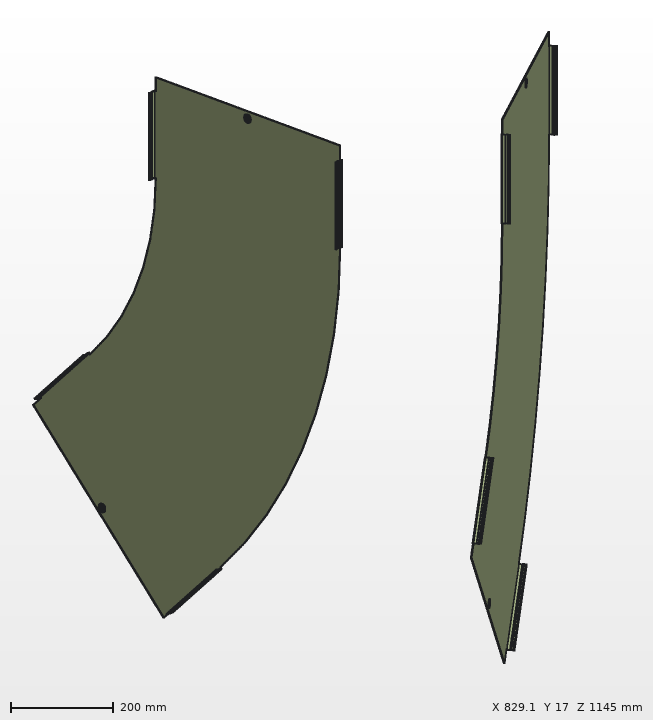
import cadquery as cq
import math

total_height = 1145.0
total_depth = 17.0
bend_angle = 45.0
width = 496.0
inner_radius = 600.0
sheet = 2.0

flange_end_gap = 30.0
flange_length = 185.0
flange_overhang = 4.1

bead_depth = 1.7
bead_height = 7.0
bead_lip = 2.0

collar_radius = 9.0
lock_edge_distance = 15.0
collar_height = 0.6
lock_head_radius = 6.0
lock_height = 1.0
lock_slot_width = 2.0

outer_radius = inner_radius + width
middle_radius = inner_radius + width / 2
bend = math.radians(bend_angle)

straight = (total_height - outer_radius * math.sin(bend)) / (1 + math.cos(bend))


def arc_point(radius, angle):
    """Point on the bend, measured clockwise from +X around the bend centre."""
    return (radius * math.cos(angle), -radius * math.sin(angle))


def extrude_back(sketch, depth):
    """Extrude an XZ sketch toward +Y."""
    return sketch.extrude(-depth)


def bend_sheet():
    """Curved middle of the sheet, front face on Y = 0."""
    outline = (
        cq.Workplane("XZ")
        .moveTo(inner_radius, 0)
        .lineTo(outer_radius, 0)
        .threePointArc(arc_point(outer_radius, bend / 2), arc_point(outer_radius, bend))
        .lineTo(*arc_point(inner_radius, bend))
        .threePointArc(arc_point(inner_radius, bend / 2), (inner_radius, 0))
        .close()
    )
    return extrude_back(outline, sheet)


def flange(edge, outward):
    """Beaded flange hanging forward from a sheet edge; outward is +1 or -1 along X."""
    outer_face = edge + outward * flange_overhang
    inner_face = outer_face - outward * sheet
    bead_shift = -outward * bead_depth
    front = sheet - total_depth
    bead_front = front + bead_lip
    bead_middle = bead_front + bead_height / 2
    bead_back = bead_front + bead_height
    profile = [
        (edge, sheet),
        (outer_face, sheet),
        (outer_face, bead_back),
        (outer_face + bead_shift, bead_middle),
        (outer_face, bead_front),
        (outer_face, front),
        (inner_face, front),
        (inner_face, bead_front),
        (inner_face + bead_shift, bead_middle),
        (inner_face, bead_back),
        (inner_face, 0),
        (edge, 0),
    ]
    start = straight - flange_end_gap - flange_length
    return cq.Workplane("XY").workplane(offset=start).polyline(profile).close().extrude(flange_length)


def turn_lock():
    """Low collar on the front face around a round head with a screwdriver slot."""
    place = cq.Workplane("XZ").center(middle_radius, straight - lock_edge_distance)
    collar = place.circle(collar_radius).extrude(collar_height)
    head = place.circle(lock_head_radius).extrude(lock_height)
    slot = place.rect(2 * lock_head_radius, lock_slot_width).extrude(lock_height)
    return head.cut(slot).union(collar)


def straight_end():
    """Straight end above the bend with its two flanges and its turn-lock."""
    outline = cq.Workplane("XZ").moveTo(inner_radius, 0).rect(width, straight, centered=False)
    body = extrude_back(outline, sheet)
    body = body.union(flange(inner_radius, -1)).union(flange(outer_radius, 1))
    return body.union(turn_lock())


upper_end = straight_end()
lower_end = upper_end.mirror("XY").rotate((0, 0, 0), (0, 1, 0), bend_angle)
result = bend_sheet().union(upper_end).union(lower_end)